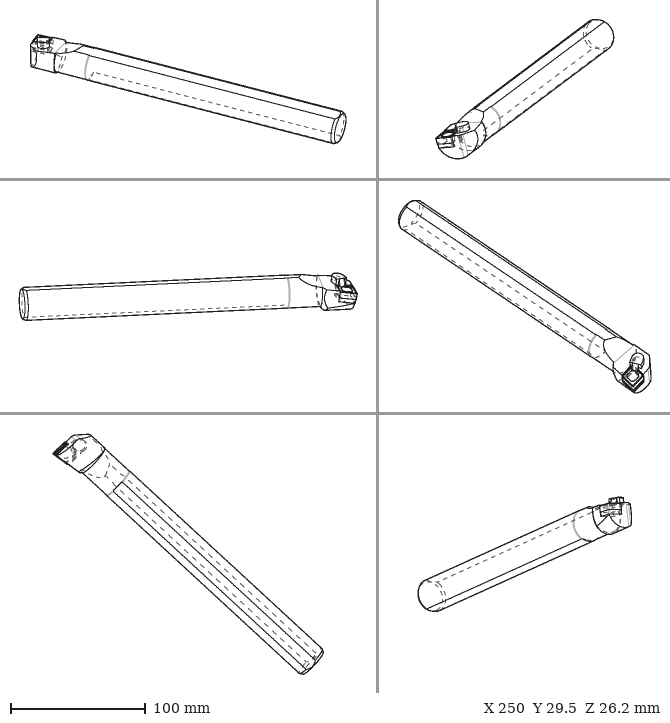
import cadquery as cq
import math


overall_length = 250.0
shank_radius = 12.5
flat_height = 11.5
end_chamfer_length = 2.2
end_chamfer_depth = 1.2
neck_relief = 0.2
neck_radius = shank_radius - neck_relief
neck_start = 25.5
neck_end = 50.0
neck_step_length = 0.7

head_radius = 14.7
head_offset = head_radius - shank_radius
corner_round = 5.0
corner_angle = 46.0
corner_drop = 20.2
face_setback = 0.7
side_setback = 0.5

tip_x = 0.02
tip_y = 17.0
axial_rake = 6.0
radial_rake = 12.0
axial_slope = math.tan(math.radians(axial_rake))
radial_slope = math.tan(math.radians(radial_rake))
lead_angle = 5.0

insert_size = 12.7
insert_angle = 80.0
insert_thickness = 4.7
nose_radius = 0.7
shim_thickness = 3.2
shim_inset = 0.2
land_width = 0.7
groove_depth = 0.2
plateau_inset = 2.5
plateau_round = 2.2

gullet_height = 0.7
gullet_flat_end = 25.2
gullet_radius = 45.0
gullet_sweep = math.radians(45)

clamp_u = 12.5
clamp_v = -18.2
clamp_heading = 115.0
clamp_width = 9.0
clamp_reach = 5.0
clamp_height = 5.5
clamp_nose_length = 2.7
clamp_nose_width = 4.7

margin = 50.0

seat = cq.Plane(
    origin=(tip_x, tip_y, 0),
    xDir=(1, 0, axial_slope),
    normal=(-axial_slope, radial_slope, 1),
)


def seat_plane(height):
    """Plane parallel to the insert top at the given height above it."""
    return cq.Workplane(seat).workplane(offset=height)


def rhombus_points(inset):
    """Corners of the insert outline, moved inward by inset, starting at the tip."""
    side = (insert_size - 2 * inset) / math.sin(math.radians(insert_angle))
    front = math.radians(lead_angle - 90)
    back = math.radians(lead_angle - 90 + insert_angle)
    bisector = (front + back) / 2
    half_angle = math.radians(insert_angle / 2)
    tip_shift = (inset - nose_radius) / math.sin(half_angle)
    tip = (
        nose_radius + tip_shift * math.cos(bisector),
        -nose_radius + tip_shift * math.sin(bisector),
    )
    along_front = (side * math.cos(front), side * math.sin(front))
    along_back = (side * math.cos(back), side * math.sin(back))
    inner = (tip[0] + along_front[0], tip[1] + along_front[1])
    outer = (tip[0] + along_back[0], tip[1] + along_back[1])
    far = (inner[0] + along_back[0], inner[1] + along_back[1])
    return [tip, inner, far, outer]


def rhombus_prism(inset, bottom, top, rounding=0.0):
    """Rhombic prism between two heights, with its upright edges optionally rounded."""
    prism = seat_plane(bottom).polyline(rhombus_points(inset)).close().extrude(top - bottom)
    if rounding:
        upright = cq.selectors.ParallelDirSelector(seat.zDir)
        prism = prism.edges(upright).fillet(rounding)
    return prism


def make_insert():
    """Rhombic insert with a chip groove between its edge land and its centre plateau."""
    blank = rhombus_prism(0, -insert_thickness, 0, nose_radius)
    groove = rhombus_prism(land_width, -groove_depth, groove_depth, nose_radius)
    plateau = rhombus_prism(plateau_inset, -groove_depth, groove_depth, plateau_round)
    return blank.cut(groove.cut(plateau))


def make_shank():
    """Round shank with two flats and a chamfered far end."""
    shank = (
        cq.Workplane("XY")
        .moveTo(neck_end, 0)
        .lineTo(neck_end, neck_radius)
        .lineTo(neck_end + neck_step_length, shank_radius)
        .lineTo(overall_length - end_chamfer_length, shank_radius)
        .lineTo(overall_length, shank_radius - end_chamfer_depth)
        .lineTo(overall_length, 0)
        .close()
        .revolve(360, (0, 0, 0), (1, 0, 0))
    )
    flats = cq.Workplane("XY").box(2 * overall_length, margin, 2 * flat_height)
    return shank.intersect(flats)


def make_neck():
    """Neck between the head and the shank, with only the upper flat."""
    neck = cq.Workplane("YZ", origin=(neck_start, 0, 0)).circle(neck_radius).extrude(neck_end - neck_start)
    above_flat = cq.Workplane("XY", origin=(0, 0, flat_height)).rect(3 * margin, margin).extrude(margin)
    return neck.cut(above_flat)


def front_envelope():
    """Region behind the head face, its rounded corner relief and its side, square to the seat."""
    lead = math.tan(math.radians(lead_angle))
    relief = math.tan(math.radians(corner_angle))
    corner = (face_setback + corner_drop * lead, -corner_drop)
    region = (
        seat_plane(-margin)
        .moveTo(face_setback, -side_setback)
        .lineTo(*corner)
        .lineTo(corner[0] + margin * relief, corner[1] - margin)
        .lineTo(3 * margin, -corner_drop - margin)
        .lineTo(3 * margin, -side_setback - 3 * margin * lead)
        .close()
        .extrude(2 * margin)
    )
    near_corner = cq.selectors.NearestToPointSelector(seat.toWorldCoords((*corner, 0)))
    return region.edges(near_corner).fillet(corner_round)


def make_head():
    """Eccentric head, shaped at the front and ending in a 45 degree cone down to the neck."""
    cylinder = cq.Workplane("YZ").center(head_offset, 0).circle(head_radius).extrude(neck_start)
    cone = (
        cq.Workplane("XY")
        .polyline([(0, 0), (0, neck_radius + neck_start), (neck_start, neck_radius), (neck_start, 0)])
        .close()
        .revolve(360, (0, 0, 0), (1, 0, 0))
    )
    return cylinder.intersect(cone).intersect(front_envelope())


def gullet():
    """Space above the head: a flat floor that curves up to the shank flat."""
    rise = gullet_radius * (1 - math.cos(gullet_sweep))
    run = gullet_radius * math.sin(gullet_sweep)
    mid_rise = gullet_radius * (1 - math.cos(gullet_sweep / 2))
    mid_run = gullet_radius * math.sin(gullet_sweep / 2)
    side = cq.Plane(origin=seat.origin, xDir=seat.xDir, normal=-seat.yDir)
    return (
        cq.Workplane(side)
        .moveTo(-margin, gullet_height)
        .lineTo(gullet_flat_end, gullet_height)
        .threePointArc(
            (gullet_flat_end + mid_run, gullet_height + mid_rise),
            (gullet_flat_end + run, gullet_height + rise),
        )
        .lineTo(gullet_flat_end + run, margin)
        .lineTo(-margin, margin)
        .close()
        .extrude(margin, both=True)
    )


def make_clamp():
    """Round-backed clamp with a narrower nose that slopes down onto the insert."""
    base = seat_plane(0).center(clamp_u, clamp_v).transformed(rotate=(0, 0, clamp_heading))
    back = base.circle(clamp_width / 2).extrude(clamp_height)
    bar = base.center(clamp_reach / 2, 0).rect(clamp_reach, clamp_width).extrude(clamp_height)
    nose_tip = clamp_reach + clamp_nose_length
    nose = (
        base.transformed(rotate=(90, 0, 0))
        .polyline([(0, 0), (nose_tip, 0), (clamp_reach, clamp_height), (0, clamp_height)])
        .close()
        .extrude(clamp_nose_width / 2, both=True)
    )
    return back.union(bar).union(nose)


def make_holder():
    """Bar with its insert pocket, shim seat and clamp, as one body."""
    bar = make_head().union(make_neck()).union(make_shank())
    seat_depth = insert_thickness + shim_thickness
    pocket = rhombus_prism(0, -seat_depth, gullet_height)
    shim = rhombus_prism(shim_inset, -seat_depth, -insert_thickness, nose_radius)
    return bar.cut(gullet()).cut(pocket).union(shim).union(make_clamp())


holder = make_holder()
insert = make_insert()

result = cq.Compound.makeCompound([holder.solids().val(), insert.solids().val()])